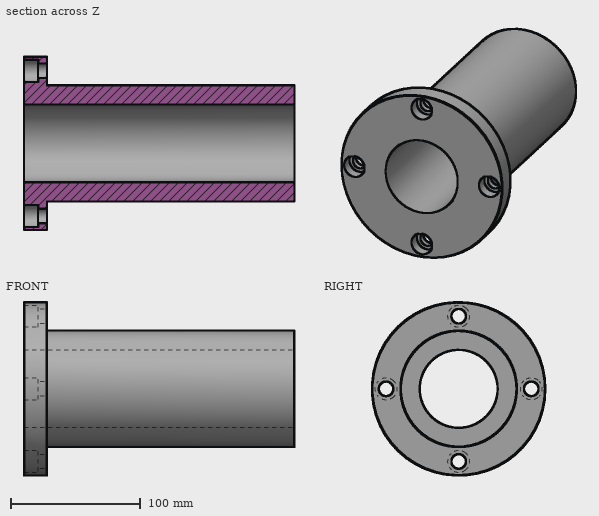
import cadquery as cq

total_length = 209.0
flange_diameter = 134.0
flange_thickness = 18.0
tube_diameter = 90.0
bore_diameter = 60.0
edge_chamfer = 0.5

screw_count = 4
screw_circle_diameter = 112.0
screw_hole_diameter = 11.0
counterbore_diameter = 17.0
counterbore_depth = 11.0

flange_face_x = -total_length / 2


def cylinder(diameter, length):
    """Cylinder on the X axis, starting at the outer flange face."""
    plane = cq.Workplane("YZ", origin=(flange_face_x, 0, 0))
    return plane.circle(diameter / 2).extrude(length)


def screw_holes(diameter, depth):
    """Ring of cylinders reaching from the outer flange face into the flange."""
    plane = cq.Workplane("YZ", origin=(flange_face_x, 0, 0))
    ring = plane.polarArray(screw_circle_diameter / 2, 0, 360, screw_count)
    return ring.circle(diameter / 2).extrude(depth)


flange = cylinder(flange_diameter, flange_thickness).edges("%CIRCLE").chamfer(edge_chamfer)
tube = cylinder(tube_diameter, total_length).faces(">X").edges().chamfer(edge_chamfer)
body = flange.union(tube)

body = body.cut(cylinder(bore_diameter, total_length))
body = body.cut(screw_holes(screw_hole_diameter, flange_thickness))
result = body.cut(screw_holes(counterbore_diameter, counterbore_depth))